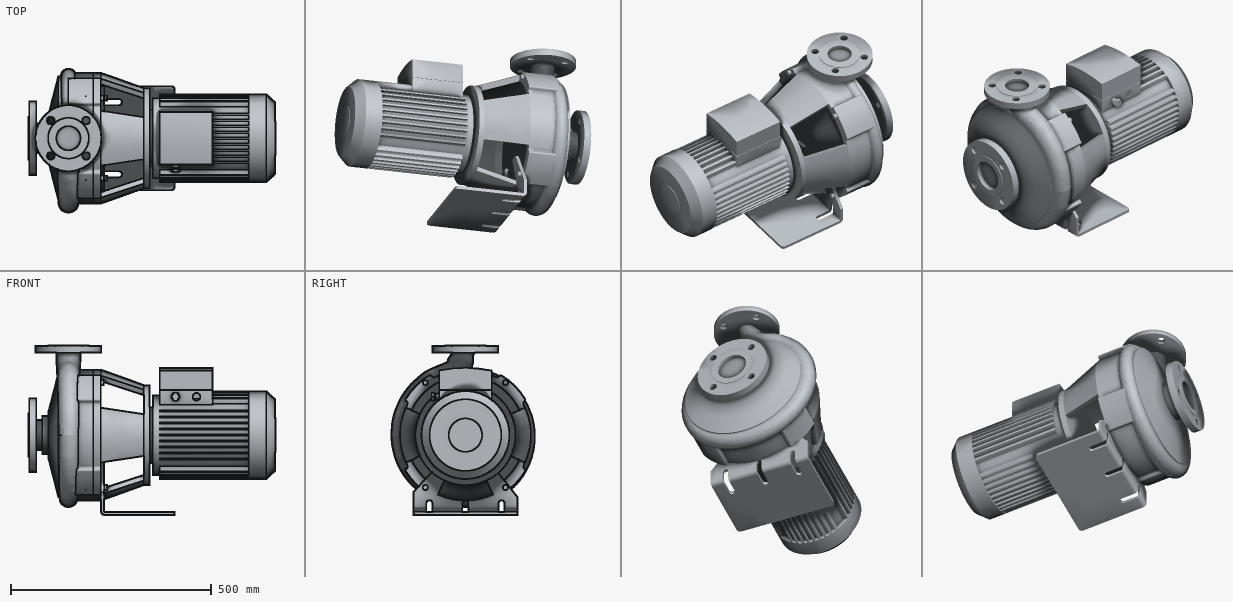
import cadquery as cq
import math


SUCTION_FLANGE_END = 20.0
SUCTION_PIPE_END = 34.5
CONE_START = 49.5
CONE_END = 75.0
VOLUTE_X = 100.0
CASING_END = 162.5
LANTERN_RING_END = 181.0
LANTERN_CONE_END = 288.5
LANTERN_END = 302.5
MOTOR_NECK_END = 311.0
FINS_START = 328.0
FINS_END = 551.0
FAN_COVER_CHAMFER_X = 594.0
FAN_COVER_END = 616.0
OVERALL_LENGTH = 617.5

RAISED_FACE = 2.0
SUCTION_FLANGE_DIA = 185.0
SUCTION_FACE_DIA = 108.0
SUCTION_BORE = 76.0
SUCTION_COLLAR_DIA = 96.5
SUCTION_BOLT_CIRCLE = 144.5
SUCTION_BOLT_HOLE = 20.0
BORE_DEPTH = 12.5
CONE_START_RADIUS = 56.0
CONE_END_RADIUS = 155.0

DISCHARGE_Z = 225.0
DISCHARGE_FLANGE_DIA = 165.0
DISCHARGE_FLANGE_BOTTOM = 206.0
DISCHARGE_FACE_DIA = 102.0
DISCHARGE_BORE = 60.5
DISCHARGE_BOLT_CIRCLE = 125.0
DISCHARGE_BOLT_HOLE = 19.0
FLANGE_HOLES = 4

VOLUTE_INNER_RADIUS = 136.0
VOLUTE_DIA = 50.0
VOLUTE_TAIL_DIA = 31.5
VOLUTE_SWEEP = 280
VOLUTE_STEP = 20
NECK_WRAP = 73
NECK_WRAP_RADIUS = 158.0
NECK_WRAP_DIA = 57.0
NECK_BEND_RADIUS = 54.0
NECK_TILT = 15
NECK_WRAP_STEPS = 7
NECK_BEND_STEPS = 2

RIM_RADIUS = 163.5
LUG_RADIUS = 174.0
LUG_HALF_WIDTH = 44.5
LUG_FILLET = 4.5
BOLT_DIA = 13.0
BOLT_Y = 100.0
BOLT_Z = 131.0
BOLT_DEPTH = 18.5
BOLT_PROJECTION = 7.5

LANTERN_WALL = 15.5
LANTERN_FLANGE_DIA = 250.0
ARM_HALF_ANGLE = 24.8
ARM_COUNT = 4

FOOT_BOTTOM = -200.0
FOOT_THICKNESS = 8.0
FOOT_LENGTH = 184.5
FOOT_HALF_WIDTH = 130.0
FOOT_CORNER = 9.0
FOOT_BEND_INSIDE = 3.0
FOOT_TOP = -65.5
FOOT_TOP_HALF_WIDTH = 58.5
FOOT_SHOULDER_LEFT = -155.0
FOOT_SHOULDER_RIGHT = -142.5
FOOT_SLOT_SPACING = 90.0
FOOT_SLOT_WIDTH = 15.0
FOOT_SLOT_TOP = -163.0
FOOT_SLOT_REACH = 52.5

MOTOR_NECK_DIA = 140.0
MOTOR_CORE_DIA = 200.0
MOTOR_DIA = 220.0
FIN_ROW_SPAN = 120.0
FIN_THICKNESS = 4.5
FINS_PER_ROW = 9
FAN_COVER_END_DIA = 179.0
FAN_DISC_DIA = 83.5

BOX_LENGTH = 132.0
BOX_WIDTH = 131.5
BOX_BOTTOM = 75.0
BOX_EDGE_Z = 161.0
BOX_TOP_Z = 168.0
BOX_SEAM_Z = 112.5
BOX_SEAM = 1.0
BOX_FITTING_Z = 96.0
GLAND_X = 367.5
GLAND_COLLAR_DIA = 16.0
GLAND_COLLAR_LENGTH = 8.0
GLAND_NECK_DIA = 13.0
GLAND_NECK_LENGTH = 4.0
GLAND_NUT_CORNERS = 22.0
GLAND_NUT_LENGTH = 7.0
ENTRY_X = 420.0
ENTRY_DIA = 19.0
ENTRY_DEPTH = 2.0


def cylinder_x(start, end, diameter, y=0, z=0):
    """Cylinder parallel to the shaft."""
    plane = cq.Workplane("YZ", origin=(start, y, z))
    return plane.circle(diameter / 2).extrude(end - start)


def turned(profile):
    """Solid of revolution about the shaft from (x, radius) points."""
    return cq.Workplane("XY").polyline(profile).close().revolve(360, (0, 0, 0), (1, 0, 0))


def polar(radius, degrees):
    angle = math.radians(degrees)
    return radius * math.cos(angle), radius * math.sin(angle)


def rim(start, end):
    """Rim with four raised lugs on the diagonals, filleted where they rise."""
    lug_foot_angle = math.degrees(math.asin(LUG_HALF_WIDTH / RIM_RADIUS))
    lug_top_angle = math.degrees(math.asin(LUG_HALF_WIDTH / LUG_RADIUS))
    outline = cq.Workplane("YZ", origin=(start, 0, 0)).moveTo(*polar(RIM_RADIUS, lug_foot_angle - 45))
    for diagonal in (45, 135, 225, 315):
        outline = (
            outline
            .threePointArc(polar(RIM_RADIUS, diagonal - 45), polar(RIM_RADIUS, diagonal - lug_foot_angle))
            .lineTo(*polar(LUG_RADIUS, diagonal - lug_top_angle))
            .threePointArc(polar(LUG_RADIUS, diagonal), polar(LUG_RADIUS, diagonal + lug_top_angle))
            .lineTo(*polar(RIM_RADIUS, diagonal + lug_foot_angle))
        )
    return outline.close().extrude(end - start).edges("|X").fillet(LUG_FILLET)


def bolts():
    """Four bolts; the lower two are longer because they also clamp the foot."""
    solids = []
    for z, clamped_end in ((BOLT_Z, LANTERN_RING_END), (-BOLT_Z, LANTERN_RING_END + FOOT_THICKNESS)):
        for y in (BOLT_Y, -BOLT_Y):
            bolt = cylinder_x(CASING_END - BOLT_DEPTH, clamped_end + BOLT_PROJECTION, BOLT_DIA, y, z)
            solids.append(bolt)
    return solids


def cut_all(body, tools):
    for tool in tools:
        body = body.cut(tool)
    return body


def tube_section(y, z, direction, diameter):
    """Circle centred in the volute plane, facing along an angle in the YZ plane."""
    plane = cq.Plane(origin=(VOLUTE_X, y, z), xDir=(1, 0, 0), normal=(0, *polar(1, direction)))
    return cq.Workplane(plane).circle(diameter / 2).wires().val()


def volute():
    """Spiral tube that grows towards the -Y side."""
    sections = []
    for sweep in range(VOLUTE_SWEEP, -1, -VOLUTE_STEP):
        diameter = VOLUTE_DIA + (VOLUTE_TAIL_DIA - VOLUTE_DIA) * sweep / VOLUTE_SWEEP
        y, z = polar(VOLUTE_INNER_RADIUS + diameter / 2, 180 + sweep)
        sections.append(tube_section(y, z, 90 + sweep, diameter))
    return cq.Workplane(cq.Solid.makeLoft(sections))


def neck():
    """Discharge neck: wraps around the casing, then bends up to the flange."""
    sections = []
    start_radius = VOLUTE_INNER_RADIUS + VOLUTE_DIA / 2
    for step in range(NECK_WRAP_STEPS + 1):
        share = step / NECK_WRAP_STEPS
        bearing = 180 - share * NECK_WRAP
        y, z = polar(start_radius + share * (NECK_WRAP_RADIUS - start_radius), bearing)
        sections.append(tube_section(y, z, bearing - 90, VOLUTE_DIA + share * (NECK_WRAP_DIA - VOLUTE_DIA)))

    bend_y, bend_z = polar(NECK_WRAP_RADIUS + NECK_BEND_RADIUS, 180 - NECK_WRAP)
    for step in range(1, NECK_BEND_STEPS + 1):
        share = step / NECK_BEND_STEPS
        bearing = -NECK_WRAP + share * (NECK_WRAP - NECK_TILT)
        y, z = polar(NECK_BEND_RADIUS, bearing)
        diameter = NECK_WRAP_DIA + share * (DISCHARGE_BORE - NECK_WRAP_DIA)
        sections.append(tube_section(bend_y + y, bend_z + z, bearing + 90, diameter))

    top_z = (DISCHARGE_FLANGE_BOTTOM + DISCHARGE_Z) / 2
    sections.append(tube_section(0, top_z, 90 - NECK_TILT, DISCHARGE_BORE))
    return cq.Workplane(cq.Solid.makeLoft(sections))


def make_casing():
    shell = turned([
        (0, 0),
        (0, SUCTION_FACE_DIA / 2),
        (RAISED_FACE, SUCTION_FACE_DIA / 2),
        (RAISED_FACE, SUCTION_FLANGE_DIA / 2),
        (SUCTION_FLANGE_END, SUCTION_FLANGE_DIA / 2),
        (SUCTION_FLANGE_END, SUCTION_BORE / 2),
        (SUCTION_PIPE_END, SUCTION_BORE / 2),
        (SUCTION_PIPE_END, SUCTION_COLLAR_DIA / 2),
        (CONE_START, SUCTION_COLLAR_DIA / 2),
        (CONE_START, CONE_START_RADIUS),
        (CONE_END, CONE_END_RADIUS),
        (CASING_END, CONE_END_RADIUS),
        (CASING_END, 0),
    ])
    discharge_flange = (
        cq.Workplane("XY", origin=(VOLUTE_X, 0, DISCHARGE_FLANGE_BOTTOM))
        .circle(DISCHARGE_FLANGE_DIA / 2)
        .extrude(DISCHARGE_Z - RAISED_FACE - DISCHARGE_FLANGE_BOTTOM)
        .faces(">Z").workplane()
        .circle(DISCHARGE_FACE_DIA / 2)
        .extrude(RAISED_FACE)
    )
    body = shell.union(rim(VOLUTE_X, CASING_END))
    for piece in (volute(), neck(), discharge_flange):
        body = body.union(piece)

    suction_bore = cylinder_x(0, BORE_DEPTH, SUCTION_BORE)
    suction_holes = (
        cq.Workplane("YZ")
        .polarArray(SUCTION_BOLT_CIRCLE / 2, 45, 360, FLANGE_HOLES)
        .circle(SUCTION_BOLT_HOLE / 2)
        .extrude(SUCTION_FLANGE_END)
    )
    discharge_bore = (
        cq.Workplane("XY", origin=(VOLUTE_X, 0, DISCHARGE_Z))
        .circle(DISCHARGE_BORE / 2)
        .extrude(-BORE_DEPTH)
    )
    discharge_holes = (
        cq.Workplane("XY", origin=(VOLUTE_X, 0, DISCHARGE_FLANGE_BOTTOM))
        .polarArray(DISCHARGE_BOLT_CIRCLE / 2, 45, 360, FLANGE_HOLES)
        .circle(DISCHARGE_BOLT_HOLE / 2)
        .extrude(DISCHARGE_Z - DISCHARGE_FLANGE_BOTTOM)
    )
    return cut_all(body, [suction_bore, suction_holes, discharge_bore, discharge_holes, *bolts()])


def shaft_wedge(start, end, bearing, half_angle):
    """Triangular prism with its apex on the shaft, wide enough to span the lantern."""
    reach = 2 * LUG_RADIUS
    return (
        cq.Workplane("YZ", origin=(start, 0, 0))
        .polyline([(0, 0), polar(reach, bearing - half_angle), polar(reach, bearing + half_angle)])
        .close()
        .extrude(end - start)
    )


def make_lantern():
    cone_inner_radius = RIM_RADIUS - LANTERN_WALL
    opening = cylinder_x(CASING_END, LANTERN_RING_END, 2 * cone_inner_radius)
    ring = rim(CASING_END, LANTERN_RING_END).cut(opening)
    arms = turned([
        (LANTERN_RING_END, RIM_RADIUS),
        (LANTERN_CONE_END, LANTERN_FLANGE_DIA / 2),
        (LANTERN_CONE_END, LANTERN_FLANGE_DIA / 2 - LANTERN_WALL),
        (LANTERN_RING_END, cone_inner_radius),
    ])
    pitch = 360 / ARM_COUNT
    for arm in range(ARM_COUNT):
        window_bearing = (arm + 0.5) * pitch
        arms = arms.cut(
            shaft_wedge(LANTERN_RING_END, LANTERN_CONE_END, window_bearing, pitch / 2 - ARM_HALF_ANGLE)
        )
    motor_flange = cylinder_x(LANTERN_CONE_END, LANTERN_END, LANTERN_FLANGE_DIA)
    return cut_all(ring.union(arms).union(motor_flange), bolts())


def make_foot():
    front = LANTERN_RING_END
    back = front + FOOT_THICKNESS
    upright = (
        cq.Workplane("YZ", origin=(front, 0, 0))
        .polyline([
            (FOOT_HALF_WIDTH, FOOT_BOTTOM),
            (FOOT_HALF_WIDTH, FOOT_SHOULDER_LEFT),
            (FOOT_TOP_HALF_WIDTH, FOOT_TOP),
            (-FOOT_TOP_HALF_WIDTH, FOOT_TOP),
            (-FOOT_HALF_WIDTH, FOOT_SHOULDER_RIGHT),
            (-FOOT_HALF_WIDTH, FOOT_BOTTOM),
        ])
        .close()
        .extrude(FOOT_THICKNESS)
    )
    base = (
        cq.Workplane("XY", origin=(front, 0, FOOT_BOTTOM))
        .box(FOOT_LENGTH, 2 * FOOT_HALF_WIDTH, FOOT_THICKNESS, centered=(False, True, False))
        .edges("|Z and >X").fillet(FOOT_CORNER)
    )
    inside_bend = cq.selectors.NearestToPointSelector((back, 0, FOOT_BOTTOM + FOOT_THICKNESS))
    outside_bend = cq.selectors.NearestToPointSelector((front, 0, FOOT_BOTTOM))
    foot = upright.union(base)
    foot = foot.edges(inside_bend).fillet(FOOT_BEND_INSIDE)
    foot = foot.edges(outside_bend).fillet(FOOT_BEND_INSIDE + FOOT_THICKNESS)

    notch = shaft_wedge(front, back, -90, ARM_HALF_ANGLE).intersect(cylinder_x(front, back, 2 * RIM_RADIUS))
    foot = foot.cut(notch)

    for y in (-FOOT_SLOT_SPACING, 0, FOOT_SLOT_SPACING):
        half = FOOT_SLOT_WIDTH / 2
        up_slot = (
            cq.Workplane("YZ", origin=(front, y, 0))
            .moveTo(-half, FOOT_BOTTOM)
            .lineTo(-half, FOOT_SLOT_TOP - half)
            .threePointArc((0, FOOT_SLOT_TOP), (half, FOOT_SLOT_TOP - half))
            .lineTo(half, FOOT_BOTTOM)
            .close()
            .extrude(FOOT_THICKNESS)
        )
        base_slot = (
            cq.Workplane("XY", origin=(front, y, FOOT_BOTTOM))
            .moveTo(0, -half)
            .lineTo(FOOT_SLOT_REACH - half, -half)
            .threePointArc((FOOT_SLOT_REACH, 0), (FOOT_SLOT_REACH - half, half))
            .lineTo(0, half)
            .close()
            .extrude(FOOT_THICKNESS + FOOT_BEND_INSIDE)
        )
        foot = foot.cut(up_slot).cut(base_slot)
    return cut_all(foot, bolts())


def make_motor():
    body = turned([
        (LANTERN_END, 0),
        (LANTERN_END, MOTOR_NECK_DIA / 2),
        (MOTOR_NECK_END, MOTOR_NECK_DIA / 2),
        (MOTOR_NECK_END, MOTOR_CORE_DIA / 2),
        (FINS_END, MOTOR_CORE_DIA / 2),
        (FINS_END, MOTOR_DIA / 2),
        (FAN_COVER_CHAMFER_X, MOTOR_DIA / 2),
        (FAN_COVER_END, FAN_COVER_END_DIA / 2),
        (FAN_COVER_END, FAN_DISC_DIA / 2),
        (OVERALL_LENGTH, FAN_DISC_DIA / 2),
        (OVERALL_LENGTH, 0),
    ])
    fin_pitch = FIN_ROW_SPAN / (FINS_PER_ROW - 1)
    fin_places = [(0, n * fin_pitch - FIN_ROW_SPAN / 2) for n in range(FINS_PER_ROW)]
    plane = cq.Workplane("YZ", origin=(FINS_START, 0, 0))
    level_fins = plane.pushPoints(fin_places).rect(MOTOR_DIA, FIN_THICKNESS).extrude(FINS_END - FINS_START)
    fins = level_fins.union(level_fins.rotate((0, 0, 0), (1, 0, 0), 90))
    return body.union(fins.intersect(cylinder_x(FINS_START, FINS_END, MOTOR_DIA)))


def make_terminal_box(motor):
    half = BOX_WIDTH / 2
    box = (
        cq.Workplane("YZ", origin=(FINS_START, 0, 0))
        .moveTo(-half, BOX_BOTTOM)
        .lineTo(-half, BOX_EDGE_Z)
        .threePointArc((0, BOX_TOP_Z), (half, BOX_EDGE_Z))
        .lineTo(half, BOX_BOTTOM)
        .close()
        .extrude(BOX_LENGTH)
    )
    seam = (
        cq.Workplane("XY", origin=(FINS_START + BOX_LENGTH / 2, 0, BOX_SEAM_Z - BOX_SEAM / 2))
        .rect(BOX_LENGTH, BOX_WIDTH)
        .rect(BOX_LENGTH - 2 * BOX_SEAM, BOX_WIDTH - 2 * BOX_SEAM)
        .extrude(BOX_SEAM)
    )
    gland = (
        cq.Workplane("XZ", origin=(GLAND_X, -half, BOX_FITTING_Z))
        .circle(GLAND_COLLAR_DIA / 2).extrude(GLAND_COLLAR_LENGTH)
        .faces("<Y").workplane().circle(GLAND_NECK_DIA / 2).extrude(GLAND_NECK_LENGTH)
        .faces("<Y").workplane().polygon(6, GLAND_NUT_CORNERS).extrude(GLAND_NUT_LENGTH)
    )
    entry = (
        cq.Workplane("XZ", origin=(ENTRY_X, -half, BOX_FITTING_Z))
        .circle(ENTRY_DIA / 2)
        .extrude(-ENTRY_DEPTH)
    )
    return box.cut(motor).cut(seam).cut(entry).union(gland)


casing = make_casing()
lantern = make_lantern()
foot = make_foot()
motor = make_motor()
terminal_box = make_terminal_box(motor)

result = cq.Compound.makeCompound([
    casing.val(),
    lantern.val(),
    foot.val(),
    motor.val(),
    terminal_box.val(),
    *[bolt.val() for bolt in bolts()],
])